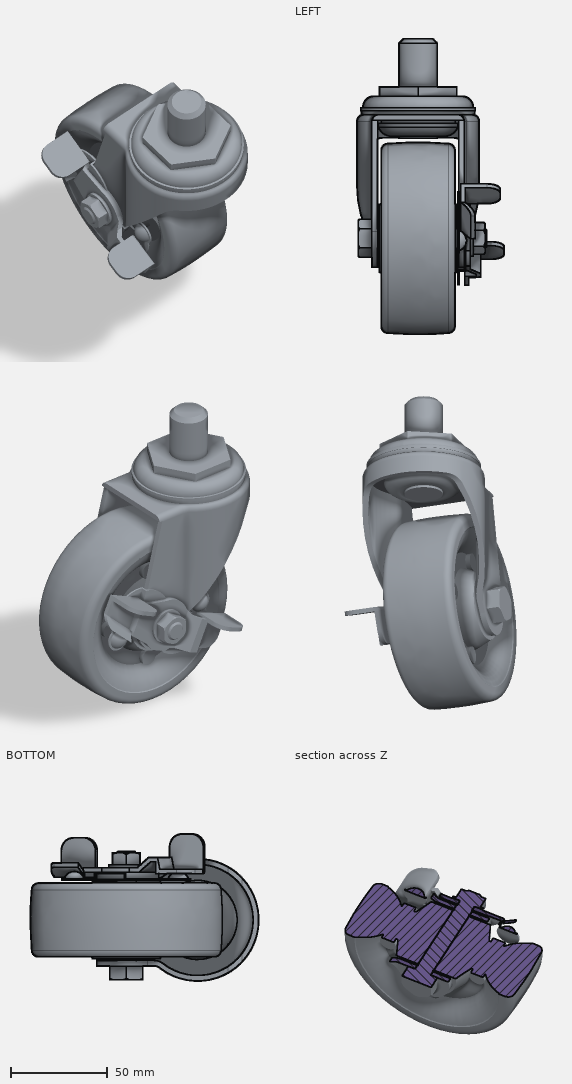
import cadquery as cq
import math


OVERALL_HEIGHT = 153.0
WHEEL_RADIUS = 49.7
SWIVEL_OFFSET = 36.9
STEM_TOP = OVERALL_HEIGHT - WHEEL_RADIUS
AXLE_RADIUS = 5.0

SIDE_HALF = 19.1
TREAD_HALF = 15.6
TREAD_EDGE_RADIUS = 49.1
SIDEWALL_RADIUS = 45.3
RIM_RADIUS = 41.9
RIM_STEP = 0.5
HUB_HALF = 20.2
HUB_FACE_RADIUS = 17.5
HUB_BASE_RADIUS = 21.5
WEB_HALF = 10.4
RIM_MIDDLE = (34.6, 15.3)
WEB_RADIUS = 29.5
STUD_COUNT = 4
STUD_RADIUS = 4.5
STUD_CIRCLE = 25.9
STUD_HALF = 13.0

SHEET = 2.9
LEG_OUTER = 23.9
LEG_INNER = LEG_OUTER - SHEET
CROWN_RADIUS = 31.7
FORK_TOP = 64.0
PLATE_BOTTOM = FORK_TOP - SHEET
CROWN_ROUND = 3.4
BEND_RADIUS = 4.6
SKIRT_BOTTOM = 52.0
LEG_END_RADIUS = 15.0
LEG_BACK_REACH = 13.5
PLATE_FRONT = -1.7
LEG_FRONT = 0.2
LEG_BACK = 55.2
BACK_FILLET = 9.2

STEM_RADIUS = 10.0
STEM_CHAMFER = 2.3
HEX_FLATS = 40.1
HEX_TOP = 78.3
CAP_TOP = 73.6
CAP_BASE = 67.6
CAP_FLAT_RADIUS = 22.8
CAP_RADIUS = 28.6
RING_RADIUS = 29.7
RING_SEAM = 66.1
SEAM_STEP = 0.3
NECK_RADIUS = 12.2
DISH_RADIUS = 20.5
DISH_EDGE = 57.4
DISH_TOP = 59.5
COLLAR_RADIUS = 19.1
DISH_BOTTOM = 53.0
RIVET_RADIUS = 10.0
RIVET_BOTTOM = 51.7

PLATE_THICK = 0.9
END_INNER = -20.5
END_OUTER = END_INNER - PLATE_THICK
MIDDLE_OUTER = -LEG_OUTER - PLATE_THICK
MIDDLE_RADIUS = 14.4
POCKET_RADIUS = 16.0
LOBE_TILT = -2.3
LOBE_RADIUS = 6.5
LOBE_X = 27.0
DOME_RADIUS = 5.2
DOME_HEIGHT = 3.7
WING_RADIUS = 17.6
WING_X = 13.8
WING_Z = -6.5
WING_TRIM = -3.4

LEVER_TILT = 25.0
LEVER_THICK = 2.3
LEFT_INNER = -22.0
RIGHT_INNER = -24.0
CREST_INNER = -30.1
LEVER_MIDDLE_OUTER = MIDDLE_OUTER - LEVER_THICK
CREST_OUTER = CREST_INNER - LEVER_THICK
LEFT_END = -41.6
LEFT_WALL = -22.0
RAMP_START = 13.0
CREST_START = 19.5
RIGHT_WALL = 24.3
WALL_LEAN = 1.2
RIGHT_END = 40.5
LEFT_TOP = 11.8
RIGHT_TOP = 7.2
RIGHT_BOTTOM = -10.3
RIGHT_CORNER = 7.6
LEFT_TAB_TIP = -42.5
RIGHT_TAB_TIP = -44.5
RIGHT_TAB_START = 21.7
RIGHT_TAB_TOP = 8.3
RIGHT_TAB_TILT = -3.0
TAB_ROUND = 6.9
TAB_BEND = 1.8
MIDDLE_LEFT_TOP = 9.5
MIDDLE_LEFT_BOTTOM = -8.0
WAIST_HALF = 4.6
WAIST_TOP = 13.5
WAIST_BOTTOM = -12.5
RIGHT_NECK = 15.3
FLAP_START = (LEFT_END, 1.2)
FLAP_END = (-20.8, -5.8)
FLAP_REACH = 5.2
FLAP_ROUND = 4.6

HEAD_FLATS = 17.1
HEAD_END = 31.0
NUT_FLATS = 14.4
WASHER_RADIUS = 9.2
WASHER_THICK = 1.5
NUT_THICK = 6.1
TIP_LENGTH = 0.9
TIP_CHAMFER = 0.9
HEX_CHAMFER = 0.8


def disc(x, z, radius, y_start, y_end):
    """Cylinder along -Y from y_start to y_end."""
    base = cq.Workplane("XZ", origin=(x, y_start, z))
    return base.circle(radius).extrude(y_start - y_end)


def corner_diameter(flats):
    """Corner-to-corner diameter of a hexagon."""
    return flats / math.cos(math.pi / 6)


def tangent_point(x, z, radius, side):
    """Where the tangent from (x, z) touches a circle about the axle."""
    angle = math.atan2(z, x) + side * math.acos(radius / math.hypot(x, z))
    return radius * math.cos(angle), radius * math.sin(angle)


def make_wheel():
    diagonal = math.sin(math.pi / 4)
    shoulder_r = SIDEWALL_RADIUS + (TREAD_EDGE_RADIUS - SIDEWALL_RADIUS) * diagonal
    shoulder_y = TREAD_HALF + (SIDE_HALF - TREAD_HALF) * diagonal
    hub = [
        (AXLE_RADIUS, HUB_HALF),
        (HUB_FACE_RADIUS, HUB_HALF),
        (HUB_BASE_RADIUS, WEB_HALF),
        (WEB_RADIUS, WEB_HALF),
    ]
    rim_edge = (RIM_RADIUS - RIM_STEP, SIDE_HALF - RIM_STEP)
    mirrored_hub = [(r, -y) for r, y in hub]
    wheel = (
        cq.Workplane("XY")
        .polyline(mirrored_hub)
        .threePointArc((RIM_MIDDLE[0], -RIM_MIDDLE[1]), (rim_edge[0], -rim_edge[1]))
        .lineTo(RIM_RADIUS, -SIDE_HALF)
        .lineTo(SIDEWALL_RADIUS, -SIDE_HALF)
        .threePointArc((shoulder_r, -shoulder_y), (TREAD_EDGE_RADIUS, -TREAD_HALF))
        .threePointArc((WHEEL_RADIUS, 0), (TREAD_EDGE_RADIUS, TREAD_HALF))
        .threePointArc((shoulder_r, shoulder_y), (SIDEWALL_RADIUS, SIDE_HALF))
        .lineTo(RIM_RADIUS, SIDE_HALF)
        .lineTo(*rim_edge)
        .threePointArc(RIM_MIDDLE, hub[-1])
        .polyline(hub[-2::-1], includeCurrent=True)
        .close()
        .revolve(360, (0, 0), (0, 1))
    )
    for i in range(STUD_COUNT):
        angle = 2 * math.pi * i / STUD_COUNT
        x = STUD_CIRCLE * math.cos(angle)
        z = STUD_CIRCLE * math.sin(angle)
        wheel = wheel.union(disc(x, z, STUD_RADIUS, STUD_HALF, -STUD_HALF))
    return wheel


def fork_block(half_width, crown_radius, bend_radius, top, front):
    """Solid block with the fork's plan: straight sides running into a round crown."""
    bottom = -2 * LEG_END_RADIUS
    length = SWIVEL_OFFSET - front
    height = top - bottom
    straight = cq.Workplane("XY").box(length, half_width * 2, height, centered=(False, True, False))
    straight = straight.translate((front, 0, bottom))
    crown = cq.Workplane("XY", origin=(SWIVEL_OFFSET, 0, bottom)).circle(crown_radius).extrude(height)
    block = straight.union(crown)
    bend_x = SWIVEL_OFFSET - math.sqrt(crown_radius ** 2 - half_width ** 2)
    bends = cq.selectors.BoxSelector(
        (bend_x - 1.5, -half_width - 1.5, bottom - 1.5), (bend_x + 1.5, half_width + 1.5, top + 1.5)
    )
    return block.edges("|Z").edges(bends).fillet(bend_radius)


def fork_side_profile():
    """Leg outline, from the skirt down to the round leg end, across the whole width."""
    front_touch = tangent_point(LEG_FRONT, PLATE_BOTTOM, LEG_END_RADIUS, 1)
    back_touch = tangent_point(LEG_BACK, SKIRT_BOTTOM, LEG_BACK_REACH, -1)
    far = SWIVEL_OFFSET + CROWN_RADIUS + 1.5
    profile = (
        cq.Workplane("XZ", origin=(0, CROWN_RADIUS + 1.5, 0))
        .moveTo(PLATE_FRONT, FORK_TOP)
        .lineTo(PLATE_FRONT, PLATE_BOTTOM)
        .lineTo(LEG_FRONT, PLATE_BOTTOM)
        .lineTo(*front_touch)
        .threePointArc((0, -LEG_END_RADIUS), back_touch)
        .lineTo(LEG_BACK, SKIRT_BOTTOM)
        .lineTo(far, SKIRT_BOTTOM)
        .lineTo(far, FORK_TOP)
        .close()
        .extrude(2 * CROWN_RADIUS + 3)
    )
    corner = cq.selectors.BoxSelector(
        (LEG_BACK - 1.5, -CROWN_RADIUS - 3, SKIRT_BOTTOM - 1.5),
        (LEG_BACK + 1.5, CROWN_RADIUS + 3, SKIRT_BOTTOM + 1.5),
    )
    return profile.edges("|Y").edges(corner).fillet(BACK_FILLET)


def make_fork():
    front = -2 * LEG_END_RADIUS
    outer = fork_block(LEG_OUTER, CROWN_RADIUS, BEND_RADIUS, FORK_TOP, front)
    outer = outer.faces(">Z").edges().fillet(CROWN_ROUND)
    inner = fork_block(LEG_INNER, CROWN_RADIUS - SHEET, BEND_RADIUS + SHEET, PLATE_BOTTOM, front - 1.5)
    fork = outer.cut(inner).intersect(fork_side_profile())
    fork = fork.cut(disc(0, 0, AXLE_RADIUS, LEG_OUTER, -LEG_OUTER))
    neck = cq.Workplane("XY", origin=(SWIVEL_OFFSET, 0, PLATE_BOTTOM)).circle(NECK_RADIUS).extrude(SHEET)
    return fork.cut(neck)


def make_stem():
    cap_drop = CAP_TOP - CAP_BASE
    cap_side = CAP_RADIUS - CAP_FLAT_RADIUS
    cap_middle = (
        CAP_FLAT_RADIUS + cap_side * math.sin(math.pi / 4),
        CAP_BASE + cap_drop * math.cos(math.pi / 4),
    )
    dish_middle = (
        NECK_RADIUS + (DISH_RADIUS - NECK_RADIUS) * math.sin(math.pi / 4),
        DISH_EDGE - (DISH_EDGE - DISH_BOTTOM) * math.cos(math.pi / 4),
    )
    body = (
        cq.Workplane("XZ")
        .moveTo(0, RIVET_BOTTOM)
        .lineTo(RIVET_RADIUS, RIVET_BOTTOM)
        .lineTo(RIVET_RADIUS, DISH_BOTTOM)
        .lineTo(NECK_RADIUS, DISH_BOTTOM)
        .threePointArc(dish_middle, (DISH_RADIUS, DISH_EDGE))
        .lineTo(DISH_RADIUS, DISH_TOP)
        .lineTo(COLLAR_RADIUS, DISH_TOP)
        .lineTo(COLLAR_RADIUS, PLATE_BOTTOM)
        .lineTo(NECK_RADIUS, PLATE_BOTTOM)
        .lineTo(NECK_RADIUS, FORK_TOP)
        .lineTo(RING_RADIUS - SEAM_STEP, FORK_TOP)
        .lineTo(RING_RADIUS - SEAM_STEP, RING_SEAM)
        .lineTo(RING_RADIUS, RING_SEAM)
        .lineTo(RING_RADIUS, CAP_BASE)
        .lineTo(CAP_RADIUS, CAP_BASE)
        .threePointArc(cap_middle, (CAP_FLAT_RADIUS, CAP_TOP))
        .lineTo(STEM_RADIUS, CAP_TOP)
        .lineTo(STEM_RADIUS, STEM_TOP - STEM_CHAMFER)
        .lineTo(STEM_RADIUS - STEM_CHAMFER, STEM_TOP)
        .lineTo(0, STEM_TOP)
        .close()
        .revolve(360, (0, 0), (0, 1))
    )
    flange = cq.Workplane("XY", origin=(0, 0, CAP_TOP)).polygon(6, corner_diameter(HEX_FLATS))
    flange = flange.extrude(HEX_TOP - CAP_TOP)
    return body.union(flange).translate((SWIVEL_OFFSET, 0, 0))


def plate_blank(y_start, y_end):
    """Flat plate outline: round middle with a lobe and a wing on each side."""
    blank = disc(0, 0, MIDDLE_RADIUS, y_start, y_end)
    size = 2 * WING_RADIUS
    for turn in (0, 180):
        wing = disc(WING_X, WING_Z, WING_RADIUS, y_start, y_end)
        above = cq.Workplane("XY").box(2 * size, 2 * size, size, centered=(True, True, False))
        wing = wing.cut(above.translate((WING_X, y_start, WING_TRIM)))
        lobe = disc(LOBE_X, 0, LOBE_RADIUS, y_start, y_end).rotate((0, 0, 0), (0, 1, 0), LOBE_TILT)
        blank = blank.union(wing.union(lobe).rotate((0, 0, 0), (0, 1, 0), turn))
    return blank


def leg_pocket(radius, y_start, y_end):
    """Rounded leg end with straight sides rising parallel to the front edge of the leg."""
    touch_x, touch_z = tangent_point(LEG_FRONT, PLATE_BOTTOM, LEG_END_RADIUS, 1)
    tilt = math.degrees(math.atan2(touch_z, -touch_x))
    size = (2 * radius, y_start - y_end, PLATE_BOTTOM)
    sides = cq.Workplane("XY").box(*size, centered=(True, False, False))
    sides = sides.translate((0, y_end, 0)).rotate((0, 0, 0), (0, 1, 0), tilt)
    return disc(0, 0, radius, y_start, y_end).union(sides)


def make_brake_plate():
    """The middle is raised by a pocket that takes the leg end."""
    blank = plate_blank(END_INNER, MIDDLE_OUTER)
    ends = plate_blank(END_INNER, END_OUTER)
    raised = leg_pocket(POCKET_RADIUS + PLATE_THICK, END_INNER, MIDDLE_OUTER)
    plate = ends.union(blank.intersect(raised))
    plate = plate.cut(leg_pocket(POCKET_RADIUS, END_INNER, -LEG_OUTER))
    ball_radius = (DOME_RADIUS ** 2 + DOME_HEIGHT ** 2) / (2 * DOME_HEIGHT)
    ball_y = END_OUTER - DOME_HEIGHT + ball_radius
    for x in (-LOBE_X, LOBE_X):
        ball = cq.Workplane("XY").sphere(ball_radius).translate((x, ball_y, 0))
        dome = ball.intersect(disc(x, 0, LOBE_RADIUS, END_OUTER, END_OUTER - DOME_HEIGHT))
        plate = plate.union(dome.rotate((0, 0, 0), (0, 1, 0), LOBE_TILT))
    return plate.cut(disc(0, 0, AXLE_RADIUS, -LEG_OUTER, MIDDLE_OUTER))


def lever_strip():
    """Bent strip: left end, raised middle, ramp to a crest, then the right end."""
    wall = LEVER_THICK
    section = [
        (LEFT_END, LEFT_INNER),
        (LEFT_WALL + wall, LEFT_INNER),
        (LEFT_WALL + wall, MIDDLE_OUTER),
        (RAMP_START, MIDDLE_OUTER),
        (CREST_START, CREST_INNER),
        (RIGHT_WALL - wall, CREST_INNER),
        (RIGHT_WALL - wall, RIGHT_INNER),
        (RIGHT_END, RIGHT_INNER),
        (RIGHT_END, RIGHT_INNER - wall),
        (RIGHT_WALL, RIGHT_INNER - wall),
        (RIGHT_WALL - WALL_LEAN, CREST_OUTER),
        (CREST_START - wall / 2, CREST_OUTER),
        (RAMP_START - wall / 2, LEVER_MIDDLE_OUTER),
        (LEFT_WALL + WALL_LEAN, LEVER_MIDDLE_OUTER),
        (LEFT_WALL, LEFT_INNER - wall),
        (LEFT_END, LEFT_INNER - wall),
    ]
    reach = 2 * MIDDLE_RADIUS
    return cq.Workplane("XY", origin=(0, 0, -reach)).polyline(section).close().extrude(2 * reach)


def lever_blank():
    """Outline of the lever seen along the axle."""
    outline = [
        FLAP_START,
        (LEFT_END, LEFT_TOP),
        (LEFT_WALL, LEFT_TOP),
        (LEFT_WALL, MIDDLE_LEFT_TOP),
        (-WAIST_HALF, WAIST_TOP),
        (WAIST_HALF, WAIST_TOP),
        (RIGHT_NECK, RIGHT_TOP),
        (RIGHT_END, RIGHT_TOP),
        (RIGHT_END, RIGHT_BOTTOM),
        (WAIST_HALF, WAIST_BOTTOM),
        (-WAIST_HALF, WAIST_BOTTOM),
        (FLAP_END[0], MIDDLE_LEFT_BOTTOM),
        FLAP_END,
    ]
    depth = LEFT_INNER - CREST_OUTER
    blank = cq.Workplane("XZ", origin=(0, LEFT_INNER, 0)).polyline(outline).close().extrude(depth)
    corner = cq.selectors.NearestToPointSelector((RIGHT_END, LEFT_INNER - depth / 2, RIGHT_BOTTOM))
    blank = blank.edges("|Y").edges(corner).fillet(RIGHT_CORNER)
    return blank.union(disc(0, 0, MIDDLE_RADIUS, LEFT_INNER, CREST_OUTER))


def lever_tab(x_start, x_end, root, tip, top):
    """Pedal tab standing out along -Y with rounded corners and a bent root."""
    width = x_end - x_start
    tab = cq.Workplane("XY").box(width, root - tip, LEVER_THICK, centered=False)
    tab = tab.translate((x_start, tip, top - LEVER_THICK))
    tab = tab.edges("|Z and <Y").fillet(TAB_ROUND)
    return tab.edges(">Y and >Z").fillet(TAB_BEND)


def lever_flap():
    """Lower edge of the left end, bent outwards at 45 degrees along a slanted line."""
    run = FLAP_END[0] - FLAP_START[0]
    drop = FLAP_END[1] - FLAP_START[1]
    length = math.hypot(run, drop)
    slant = math.degrees(math.atan2(-drop, run))
    section = [
        (LEFT_INNER, 0),
        (LEFT_INNER - LEVER_THICK, 0),
        (LEFT_INNER - LEVER_THICK - FLAP_REACH, -FLAP_REACH),
        (LEFT_INNER - FLAP_REACH, -FLAP_REACH),
    ]
    flap = cq.Workplane("YZ").polyline(section).close().extrude(length)
    depth = LEVER_THICK + FLAP_REACH
    trim = cq.Workplane("XZ", origin=(0, LEFT_INNER, 0)).rect(2 * length, 2 * FLAP_REACH).extrude(depth)
    trim = trim.translate((length, 0, 0)).edges("|Y and <X and <Z").fillet(FLAP_ROUND)
    flap = flap.intersect(trim).rotate((0, 0, 0), (0, 1, 0), slant)
    return flap.translate((FLAP_START[0], 0, FLAP_START[1]))


def make_lever():
    lever = lever_strip().intersect(lever_blank())
    lever = lever.union(lever_tab(LEFT_END, LEFT_WALL, LEFT_INNER, LEFT_TAB_TIP, LEFT_TOP))
    right_tab = lever_tab(RIGHT_TAB_START, RIGHT_END, RIGHT_INNER, RIGHT_TAB_TIP, RIGHT_TAB_TOP)
    root = (RIGHT_TAB_START, 0, RIGHT_TAB_TOP)
    right_tab = right_tab.rotate(root, (RIGHT_TAB_START, 1, RIGHT_TAB_TOP), RIGHT_TAB_TILT)
    lever = lever.union(right_tab)
    lever = lever.union(lever_flap())
    lever = lever.cut(disc(0, 0, AXLE_RADIUS, MIDDLE_OUTER, LEVER_MIDDLE_OUTER))
    return lever.rotate((0, 0, 0), (0, 1, 0), LEVER_TILT)


def hex_prism(flats, y_start, y_end):
    """Hexagonal prism along -Y with a corner pointing up."""
    prism = cq.Workplane("XZ", origin=(0, y_start, 0)).polygon(6, corner_diameter(flats))
    prism = prism.extrude(y_start - y_end)
    return prism.rotate((0, 0, 0), (0, 1, 0), 30)


def make_axle():
    washer_end = LEVER_MIDDLE_OUTER - WASHER_THICK
    nut_end = washer_end - NUT_THICK
    tip = nut_end - TIP_LENGTH
    head_round = disc(0, 0, corner_diameter(HEAD_FLATS) / 2, HEAD_END, LEG_OUTER)
    head_round = head_round.faces(">Y").chamfer(HEX_CHAMFER)
    nut_round = disc(0, 0, corner_diameter(NUT_FLATS) / 2, washer_end, nut_end)
    nut_round = nut_round.faces("<Y").chamfer(HEX_CHAMFER)
    shank = disc(0, 0, AXLE_RADIUS, HEAD_END - HEX_CHAMFER, tip).faces("<Y").chamfer(TIP_CHAMFER)
    washer = disc(0, 0, WASHER_RADIUS, LEVER_MIDDLE_OUTER, washer_end)
    head = hex_prism(HEAD_FLATS, HEAD_END, LEG_OUTER).intersect(head_round)
    nut = hex_prism(NUT_FLATS, washer_end, nut_end).intersect(nut_round)
    return shank.union(head).union(washer).union(nut)


wheel = make_wheel()
fork = make_fork()
stem = make_stem()
axle = make_axle()
brake_plate = make_brake_plate()
brake_lever = make_lever()

result = cq.Compound.makeCompound([
    wheel.solids().val(),
    fork.solids().val(),
    stem.solids().val(),
    axle.solids().val(),
    brake_plate.solids().val(),
    brake_lever.solids().val(),
])